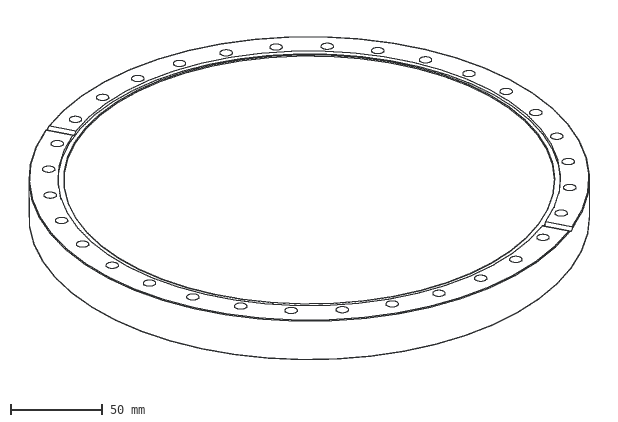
import cadquery as cq

flange_diameter = 305
flange_thickness = 25.0
rim_chamfer = 0.45

recess_diameter = 273.3
recess_depth = 1.8
knife_diameter = 267.2
knife_tip_depth = 0.5
knife_inner_taper = 0.3
center_depth = 1.2

bolt_count = 32
bolt_circle_diameter = 284.0
bolt_hole_diameter = 6.7

groove_width = 4.5
groove_depth = 1.2


def make_flange():
    disc = cq.Workplane("XY").circle(flange_diameter / 2).extrude(flange_thickness)
    return disc.edges("%CIRCLE").chamfer(rim_chamfer)


def make_recess():
    """Revolved cutter whose floor rises inward to the knife edge, then drops to the central face."""
    recess_radius = recess_diameter / 2
    knife_radius = knife_diameter / 2
    profile = (
        cq.Workplane("XZ")
        .moveTo(0, flange_thickness)
        .lineTo(recess_radius, flange_thickness)
        .lineTo(recess_radius, flange_thickness - recess_depth)
        .lineTo(knife_radius, flange_thickness - knife_tip_depth)
        .lineTo(knife_radius - knife_inner_taper, flange_thickness - center_depth)
        .lineTo(0, flange_thickness - center_depth)
        .close()
    )
    return profile.revolve(360, (0, 0, 0), (0, 1, 0))


def make_bolt_holes():
    half_pitch_angle = 180 / bolt_count
    return (
        cq.Workplane("XY")
        .polarArray(bolt_circle_diameter / 2, half_pitch_angle, 360, bolt_count)
        .circle(bolt_hole_diameter / 2)
        .extrude(flange_thickness)
    )


def make_leak_grooves():
    """Bar along X, limited to the rim so that the knife edge stays whole."""
    groove_radius = (groove_width**2 / 4 + groove_depth**2) / (2 * groove_depth)
    axis_height = flange_thickness - groove_depth + groove_radius
    bar = (
        cq.Workplane("YZ", origin=(-flange_diameter / 2, 0, 0))
        .center(0, axis_height)
        .circle(groove_radius)
        .extrude(flange_diameter)
    )
    recess_core = cq.Workplane("XY").circle(recess_diameter / 2).extrude(2 * flange_thickness)
    return bar.cut(recess_core)


result = make_flange().cut(make_recess()).cut(make_bolt_holes()).cut(make_leak_grooves())